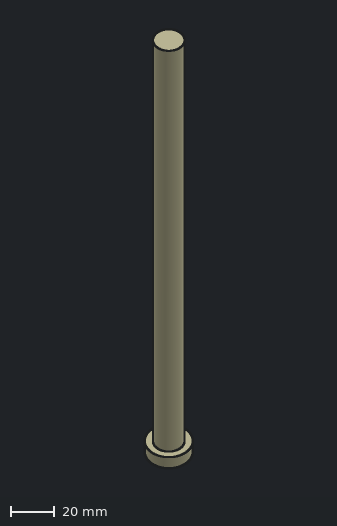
import cadquery as cq

head_diameter = 22.0
head_height = 7.0
shank_diameter = 14.5
shank_length = 250.0


def make_head():
    return cq.Workplane("XY").circle(head_diameter / 2).extrude(head_height)


def make_shank():
    return cq.Workplane("XY").circle(shank_diameter / 2).extrude(head_height + shank_length)


result = make_head().union(make_shank())